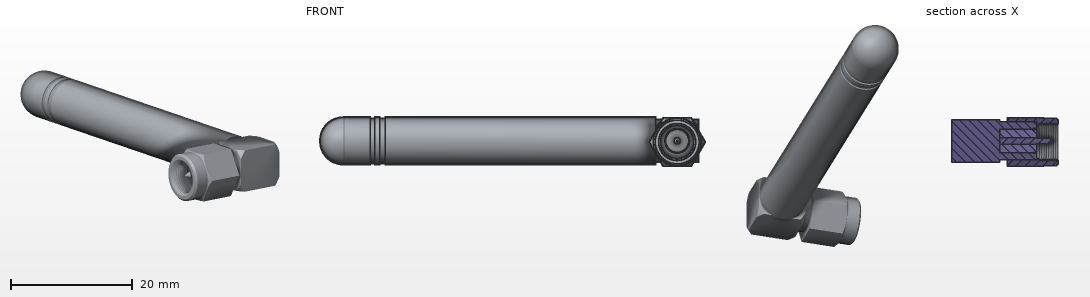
import cadquery as cq
import math

ROD_RADIUS = 3.9
GROOVE_DEPTH = 0.2
GROOVE_SPANS = [(8.3, 9.05), (9.8, 10.75)]

BLOCK_WIDTH = 7.0
BLOCK_LENGTH = 7.95
BLOCK_FACE_RADIUS = 4.1
BLOCK_CHAMFER = 1.0
NECK_RADIUS = 3.15
NECK_GAP = 1.15

TOTAL_LENGTH = 63.25
NUT_DROP = 0.2
HEX_FLATS = 7.95
HEX_LENGTH = 6.0
HEX_CHAMFER_ANGLE = 30.0
COLLAR_RADIUS = 3.9
COLLAR_LENGTH = 2.4
COLLAR_CHAMFER = 0.3
THREAD_MINOR_RADIUS = 2.7
THREAD_MAJOR_RADIUS = 3.05
THREAD_PITCH = 0.4
THREAD_COUNT = 8
FLARE_LENGTH = 0.2
BORE_DEPTH = 3.5

INSULATOR_RADIUS = 1.9
RELIEF_WIDTH = 0.1
RELIEF_DEPTH = 0.65
PIN_RADIUS = 0.5
PIN_TIP_RADIUS = 0.05
PIN_TIP_LENGTH = 0.75
PIN_RECESS = 0.75

HEX_CORNER_RADIUS = HEX_FLATS / math.sqrt(3)
AXIS_X = TOTAL_LENGTH - HEX_CORNER_RADIUS
ROD_END = AXIS_X - BLOCK_WIDTH / 2
BLOCK_FRONT = BLOCK_LENGTH / 2
NUT_BACK = BLOCK_FRONT + NECK_GAP
COLLAR_START = NUT_BACK + HEX_LENGTH
NUT_MOUTH = COLLAR_START + COLLAR_LENGTH
NECK_FACE = NUT_MOUTH - BORE_DEPTH


def connector_plane(distance, drop=0.0):
    """Plane facing -Y, at a distance from the rod axis, centred on the connector axis."""
    return cq.Plane(origin=(AXIS_X, -distance, -drop), xDir=(1, 0, 0), normal=(0, -1, 0))


def connector_cylinder(radius, start, end, drop=0.0):
    return cq.Workplane(connector_plane(start, drop)).circle(radius).extrude(end - start)


def connector_revolve(points, drop=0.0):
    """Revolve (radius, distance) points about the connector axis."""
    plane = cq.Plane(origin=(AXIS_X, 0, -drop), xDir=(1, 0, 0), normal=(0, 0, 1))
    outline = [(radius, -distance) for radius, distance in points]
    return cq.Workplane(plane).polyline(outline).close().revolve(360, (0, 0), (0, 1))


def make_rod():
    dome_rise = ROD_RADIUS * math.sqrt(0.5)
    rod = (
        cq.Workplane("XY")
        .moveTo(0, 0)
        .threePointArc((ROD_RADIUS - dome_rise, dome_rise), (ROD_RADIUS, ROD_RADIUS))
        .lineTo(ROD_END, ROD_RADIUS)
        .lineTo(ROD_END, 0)
        .close()
        .revolve(360, (0, 0), (1, 0))
    )
    for start, end in GROOVE_SPANS:
        groove = (
            cq.Workplane("YZ", origin=(start, 0, 0))
            .circle(ROD_RADIUS + GROOVE_DEPTH)
            .circle(ROD_RADIUS - GROOVE_DEPTH)
            .extrude(end - start)
        )
        rod = rod.cut(groove)
    return rod


def make_elbow():
    block = cq.Workplane("XY", origin=(AXIS_X, 0, 0)).box(BLOCK_WIDTH, BLOCK_LENGTH, BLOCK_WIDTH)
    limit_radius = BLOCK_FACE_RADIUS + BLOCK_CHAMFER
    corner_limit = connector_cylinder(limit_radius, -BLOCK_FRONT, BLOCK_FRONT)
    corner_limit = corner_limit.edges("%CIRCLE").chamfer(BLOCK_CHAMFER)
    neck = connector_cylinder(NECK_RADIUS, BLOCK_FRONT, NECK_FACE)
    insulator_hole = connector_cylinder(INSULATOR_RADIUS, BLOCK_FRONT, NECK_FACE)
    relief = connector_cylinder(INSULATOR_RADIUS + RELIEF_WIDTH, NECK_FACE - RELIEF_DEPTH, NECK_FACE)
    return block.intersect(corner_limit).union(neck).cut(insulator_hole).cut(relief)


def make_thread_bore():
    """Bore with ring-shaped V grooves and a flared mouth."""
    points = [
        (0, NUT_MOUTH),
        (THREAD_MAJOR_RADIUS, NUT_MOUTH),
        (THREAD_MINOR_RADIUS, NUT_MOUTH - FLARE_LENGTH),
    ]
    for index in range(THREAD_COUNT):
        groove_start = NUT_MOUTH - FLARE_LENGTH - index * THREAD_PITCH
        points.append((THREAD_MAJOR_RADIUS, groove_start - THREAD_PITCH / 2))
        points.append((THREAD_MINOR_RADIUS, groove_start - THREAD_PITCH))
    points += [(THREAD_MINOR_RADIUS, NECK_FACE), (0, NECK_FACE)]
    return connector_revolve(points, NUT_DROP)


def make_nut():
    hexagon = (
        cq.Workplane(connector_plane(NUT_BACK, NUT_DROP))
        .polygon(6, 2 * HEX_CORNER_RADIUS)
        .extrude(HEX_LENGTH)
    )
    chamfer_drop = (HEX_CORNER_RADIUS - COLLAR_RADIUS) * math.tan(math.radians(HEX_CHAMFER_ANGLE))
    corner_limit = connector_revolve(
        [
            (0, NUT_BACK),
            (HEX_CORNER_RADIUS, NUT_BACK),
            (HEX_CORNER_RADIUS, COLLAR_START - chamfer_drop),
            (COLLAR_RADIUS, COLLAR_START),
            (0, COLLAR_START),
        ],
        NUT_DROP,
    )
    collar = connector_cylinder(COLLAR_RADIUS, COLLAR_START, NUT_MOUTH, NUT_DROP)
    collar = collar.faces("<Y").edges().chamfer(COLLAR_CHAMFER)
    neck_socket = connector_cylinder(NECK_RADIUS, NUT_BACK, NECK_FACE)
    return hexagon.intersect(corner_limit).union(collar).cut(neck_socket).cut(make_thread_bore())


def make_pin():
    tip = NUT_MOUTH - PIN_RECESS
    return connector_revolve(
        [
            (0, BLOCK_FRONT),
            (PIN_RADIUS, BLOCK_FRONT),
            (PIN_RADIUS, tip - PIN_TIP_LENGTH),
            (PIN_TIP_RADIUS, tip),
            (0, tip),
        ]
    )


def make_insulator(pin):
    return connector_cylinder(INSULATOR_RADIUS, BLOCK_FRONT, NECK_FACE).cut(pin)


rod = make_rod()
elbow = make_elbow()
nut = make_nut()
pin = make_pin()
insulator = make_insulator(pin)

result = cq.Compound.makeCompound([rod.val(), elbow.val(), nut.val(), insulator.val(), pin.val()])